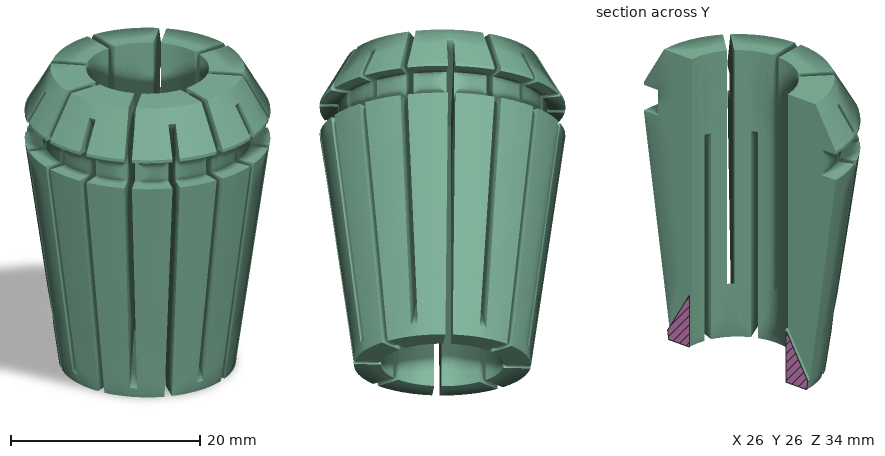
import cadquery as cq
import math

total_height = 34
outer_radius = 13.0
bore_radius = 6.5

taper_height = 25.87
taper_angle = math.radians(8)
nose_radius = outer_radius - taper_height * math.tan(taper_angle)

groove_width = 3.03
groove_radius = 11.05
groove_top = taper_height + groove_width

rim_height = 0.35
head_angle = math.radians(30)
cone_bottom = groove_top + rim_height
head_top_radius = outer_radius - (total_height - cone_bottom) * math.tan(head_angle)

slits_per_set = 8
slit_pitch = 360 / slits_per_set
slit_width = 0.78
slit_end_angle = math.radians(30)
top_slit_end = 1.1
bottom_slit_end = 32.47
clearance = 1.7


def make_body():
    """Revolved collet sleeve without slits."""
    profile = [
        (bore_radius, 0),
        (nose_radius, 0),
        (outer_radius, taper_height),
        (groove_radius, taper_height),
        (groove_radius, groove_top),
        (outer_radius, groove_top),
        (outer_radius, cone_bottom),
        (head_top_radius, total_height),
        (bore_radius, total_height),
    ]
    return cq.Workplane("XZ").polyline(profile).close().revolve(360, (0, 0, 0), (0, 1, 0))


def slit_set(end_radius, end_height, end_slope, open_height, first_angle):
    """Radial cutters with a conical end that passes through (end_radius, end_height)."""
    inner = bore_radius / 2
    outer = outer_radius + clearance

    def end_at(radius):
        return end_height + (radius - end_radius) * end_slope

    outline = [
        (inner, open_height),
        (inner, end_at(inner)),
        (outer, end_at(outer)),
        (outer, open_height),
    ]
    ring = cq.Workplane("XZ").polyline(outline).close().revolve(360, (0, 0, 0), (0, 1, 0))
    slab = cq.Workplane("XY").box(outer, slit_width, 4 * total_height, centered=(False, True, True))
    cutter = ring.intersect(slab)
    angles = [first_angle + index * slit_pitch for index in range(slits_per_set)]
    return [cutter.rotate((0, 0, 0), (0, 0, 1), angle) for angle in angles]


end_slope = 1 / math.tan(slit_end_angle)

top_slits = slit_set(
    end_radius=nose_radius + top_slit_end * math.tan(taper_angle),
    end_height=top_slit_end,
    end_slope=-end_slope,
    open_height=total_height + clearance,
    first_angle=0,
)

bottom_slits = slit_set(
    end_radius=head_top_radius + (total_height - bottom_slit_end) * math.tan(head_angle),
    end_height=bottom_slit_end,
    end_slope=end_slope,
    open_height=-clearance,
    first_angle=slit_pitch / 2,
)

result = make_body()
for slit in top_slits + bottom_slits:
    result = result.cut(slit)